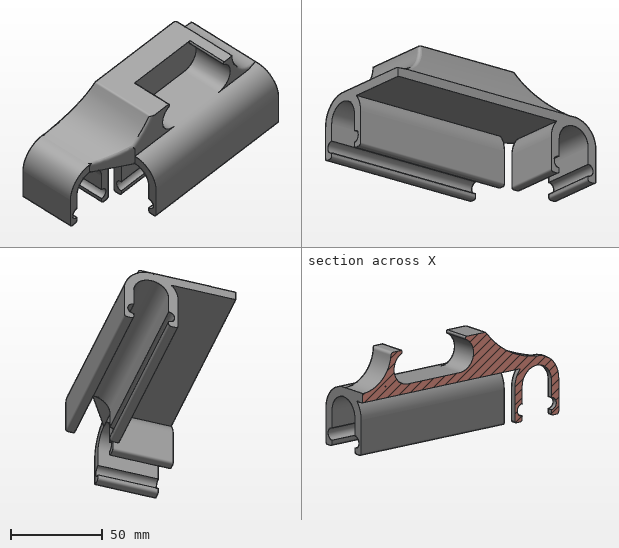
import cadquery as cq
import math

length = 137.4
height = 55.5

clip_outer_radius = 15.5
clip_inner_radius = 10.0
clip_top = 35.7
groove_radius = 3.5
groove_height = 6.7
leg_tip_radius = 1.5
clip_axis_height = clip_top - clip_outer_radius
wall = clip_outer_radius - clip_inner_radius

width = 64.3
side_clip_x = width - clip_outer_radius
side_clip_start = 37.4
front_clip_y = clip_outer_radius
front_clip_length = 34.9

body_bottom = clip_top - wall
edge_radius = 1.9
ramp_top_y = 51.3
ramp_sag = 4.3
left_top_x = 6.5
left_sag = 0.7
rear_cove_radius = height - clip_top
margin = 0.01

pocket_x = 23.6
pocket_y = 87.5
floor_half = 18.1
end_radius = 9.5
neck_half = 22.0
mouth_half = 22.7


def sagged_midpoint(start, end, sag):
    """Middle of an arc that bows by sag to the right of start -> end."""
    du = end[0] - start[0]
    dv = end[1] - start[1]
    chord = math.hypot(du, dv)
    return (
        (start[0] + end[0]) / 2 + sag * dv / chord,
        (start[1] + end[1]) / 2 - sag * du / chord,
    )


def clip(plane, run):
    """Clip arch around the local vertical axis, extruded along the plane normal."""
    arch = (
        cq.Workplane(plane)
        .moveTo(-clip_outer_radius, 0)
        .lineTo(-clip_outer_radius, clip_axis_height)
        .threePointArc((0, clip_top), (clip_outer_radius, clip_axis_height))
        .lineTo(clip_outer_radius, 0)
        .lineTo(clip_inner_radius, 0)
        .lineTo(clip_inner_radius, clip_axis_height)
        .threePointArc((0, body_bottom), (-clip_inner_radius, clip_axis_height))
        .lineTo(-clip_inner_radius, 0)
        .close()
        .extrude(run)
    )
    along = "|X" if abs(plane.zDir.x) > abs(plane.zDir.y) else "|Y"
    arch = arch.faces("<Z").edges(along).fillet(leg_tip_radius)
    grooves = (
        cq.Workplane(plane)
        .pushPoints([(side * clip_inner_radius, groove_height) for side in (-1, 1)])
        .circle(groove_radius)
        .extrude(run)
    )
    return arch.cut(grooves)


def body():
    """Plate and raised housing: the common volume of three outlines."""
    plan = (
        cq.Workplane("XY", origin=(0, 0, body_bottom))
        .polyline([
            (0, front_clip_y),
            (front_clip_length, front_clip_y),
            (side_clip_x, side_clip_start),
            (side_clip_x, length),
            (0, length),
        ])
        .close()
        .extrude(height - body_bottom)
    )
    ramp_start = (front_clip_y, clip_top)
    ramp_end = (ramp_top_y, height)
    cove_offset = rear_cove_radius * math.sqrt(0.5)
    side_profile = (
        cq.Workplane("YZ")
        .moveTo(front_clip_y, body_bottom)
        .lineTo(*ramp_start)
        .threePointArc(sagged_midpoint(ramp_start, ramp_end, ramp_sag), ramp_end)
        .lineTo(length - rear_cove_radius, height)
        .threePointArc((length - cove_offset, height - cove_offset), (length, clip_top))
        .lineTo(length, body_bottom)
        .close()
        .extrude(side_clip_x)
    )
    left_start = (0, clip_top)
    left_end = (left_top_x, height)
    end_profile = (
        cq.Workplane("XZ")
        .moveTo(0, body_bottom)
        .lineTo(*left_start)
        .threePointArc(sagged_midpoint(left_start, left_end, left_sag), left_end)
        .lineTo(side_clip_x, height)
        .lineTo(side_clip_x, body_bottom)
        .close()
        .extrude(-length)
    )
    block = plan.intersect(side_profile).intersect(end_profile)
    top_right = cq.selectors.NearestToPointSelector((side_clip_x, pocket_y, height))
    upright = cq.selectors.ParallelDirSelector(cq.Vector(0, 0, 1))
    above_plate = cq.selectors.BoxSelector(
        (0, 0, clip_top + margin), (width, length, height + margin)
    )
    return block.edges(above_plate - upright - top_right).fillet(edge_radius)


def pocket():
    """Slot with a flat floor, round undercut ends and rounded lips at the mouth."""
    end_axis = clip_top + end_radius
    lip_bottom = end_axis + math.sqrt(end_radius**2 - (mouth_half - floor_half) ** 2)
    lip_middle = (lip_bottom + height) / 2
    far = floor_half + end_radius
    return (
        cq.Workplane("YZ", origin=(pocket_x, pocket_y, 0))
        .moveTo(-floor_half, clip_top)
        .lineTo(floor_half, clip_top)
        .threePointArc((far, end_axis), (mouth_half, lip_bottom))
        .threePointArc((neck_half, lip_middle), (mouth_half, height))
        .lineTo(-mouth_half, height)
        .threePointArc((-neck_half, lip_middle), (-mouth_half, lip_bottom))
        .threePointArc((-far, end_axis), (-floor_half, clip_top))
        .close()
        .extrude(side_clip_x - pocket_x)
    )


side_plane = cq.Plane((side_clip_x, length, 0), xDir=(1, 0, 0), normal=(0, -1, 0))
front_plane = cq.Plane((0, front_clip_y, 0), xDir=(0, 1, 0), normal=(1, 0, 0))
side_clip = clip(side_plane, length - side_clip_start)
front_clip = clip(front_plane, front_clip_length)

result = body().cut(pocket()).union(side_clip).union(front_clip)